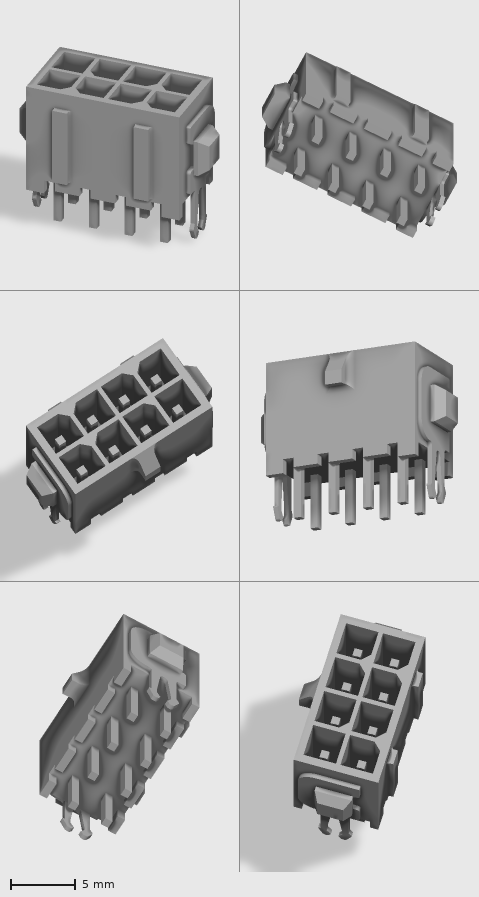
import cadquery as cq
import math


ARC_SAG = 1 - math.sqrt(0.5)

COLUMNS = 4
ROWS = 2
PITCH = 3.0
PIN_WIDTH = 0.64
PIN_BOTTOM = -4.35
COLUMN_X = [(i - (COLUMNS - 1) / 2) * PITCH for i in range(COLUMNS)]
ROW_Y = [(i - (ROWS - 1) / 2) * PITCH for i in range(ROWS)]

BODY_LENGTH = 12.9
BODY_WIDTH = 6.88
BODY_TOP = 8.06
FLOOR_THICKNESS = 1.0
CAVITY_SIZE = 2.64
CAVITY_CHAMFER = 0.65
PIN_TOP = BODY_TOP - 2.0
HALF_LENGTH = BODY_LENGTH / 2
HALF_WIDTH = BODY_WIDTH / 2

FRONT_ROW_KEYS = [1, -1, 1, -1]
BACK_ROW_KEYS = [0, -1, 1, -1]

SKIRT_THICKNESS = 0.67
SKIRT_DEPTH = 0.77
FOOT_DEPTH = 1.14
NOTCH_WIDTH = 0.93

RIB_X = 3.42
RIB_WIDTH = 1.23
RIB_HEIGHT = 0.51
RIB_BOTTOM = 0.3
RIB_TOP = 6.69
RIB_FILLET = 0.2

RAMP_WIDTH = 1.4
RAMP_REACH = 1.28
RAMP_TIP_TOP = 6.22
RAMP_TIP_BOTTOM = 5.14
RAMP_UNDERSIDE = 5.2
RAMP_SIDE_FILLET = 0.56
RAMP_UNDER_FILLET = 0.38

PLATE_THICKNESS = 0.37
PLATE_BACK = 3.0
PLATE_FRONT = -2.02
PLATE_BOTTOM = 0.46
PLATE_TOP = 6.48
PLATE_BACK_RADIUS = 1.5
PLATE_CORNER_RADIUS = 0.13
MOUTH_TOP = 4.98
MOUTH_LOWER_RADIUS = 0.25
STEM_HALF_WIDTH = 1.14
STEM_FILLET = 0.24

PEG_Z = 3.49
NECK_SIZE = 2.0
HEAD_SIZE = 3.0
HEAD_TIP_SIZE = 2.11
HEAD_INNER_X = 6.85
HEAD_TAPER_X = 7.22
PEG_TIP_X = 8.0

SLIT_CROWN = (0, 0.05)
SLIT_SHOULDER = (0.34, -0.25)
SLIT_FOOT = (0.64, -2.75)
HOOK_THROAT = (0.64, -3.12)
HOOK_NOSE = (0.3, -3.65)
TIP_INNER = (0.48, -3.95)
TIP_LOW = (0.72, -4.05)
TIP_OUTER = (0.96, -3.94)
BACK_BARB = [(STEM_HALF_WIDTH, -2.98), (1.35, -2.98), (1.35, -3.09)]
FRONT_BARB = [(STEM_HALF_WIDTH, -2.56), (1.38, -2.98), (1.38, -3.1)]


def block(x0, x1, y0, y1, z0, z1):
    """Axis-aligned box between the given limits."""
    return cq.Workplane("XY").box(x1 - x0, y1 - y0, z1 - z0, centered=False).translate((x0, y0, z0))


def cavity(x, y, key):
    """Square contact cavity with an optional cut corner on the -Y side."""
    half = CAVITY_SIZE / 2
    pocket = block(x - half, x + half, y - half, y + half, FLOOR_THICKNESS, BODY_TOP)
    if key:
        corner = "<Y and >X" if key > 0 else "<Y and <X"
        pocket = pocket.edges("|Z").edges(corner).chamfer(CAVITY_CHAMFER)
    return pocket


def skirt(y0):
    """Long-wall skirt with deeper end feet, notched at every pin column."""
    y1 = y0 + SKIRT_THICKNESS
    wall = block(-HALF_LENGTH, HALF_LENGTH, y0, y1, -FOOT_DEPTH, 0)
    wall = wall.cut(block(COLUMN_X[0], COLUMN_X[-1], y0, y1, -FOOT_DEPTH, -SKIRT_DEPTH))
    for x in COLUMN_X:
        wall = wall.cut(block(x - NOTCH_WIDTH / 2, x + NOTCH_WIDTH / 2, y0, y1, -FOOT_DEPTH, 0))
    return wall


def housing():
    body = block(-HALF_LENGTH, HALF_LENGTH, -HALF_WIDTH, HALF_WIDTH, 0, BODY_TOP)
    for y, keys in zip(ROW_Y, [FRONT_ROW_KEYS, BACK_ROW_KEYS]):
        for x, key in zip(COLUMN_X, keys):
            body = body.cut(cavity(x, y, key))
    body = body.union(skirt(-HALF_WIDTH))
    return body.union(skirt(HALF_WIDTH - SKIRT_THICKNESS))


def pin(x, y):
    half = PIN_WIDTH / 2
    return block(x - half, x + half, y - half, y + half, PIN_BOTTOM, PIN_TOP)


def flared_profile(width, reach, fillet):
    """XY section standing on y = 0 toward +Y, with concave fillets at its root."""
    half = width / 2
    bulge = fillet * ARC_SAG
    return (
        cq.Workplane("XY")
        .moveTo(-half - fillet, 0)
        .threePointArc((-half - bulge, bulge), (-half, fillet))
        .lineTo(-half, reach)
        .lineTo(half, reach)
        .lineTo(half, fillet)
        .threePointArc((half + bulge, bulge), (half + fillet, 0))
        .close()
    )


def rib(x):
    bar = flared_profile(RIB_WIDTH, RIB_HEIGHT, RIB_FILLET).extrude(RIB_TOP - RIB_BOTTOM)
    return bar.mirror("XZ").translate((x, -HALF_WIDTH, RIB_BOTTOM))


def latch_ramp():
    """Flared block trimmed to the sloping side profile of the latch."""
    bulge = RAMP_UNDER_FILLET * ARC_SAG
    side = (
        cq.Workplane("YZ")
        .moveTo(0, BODY_TOP)
        .lineTo(RAMP_REACH, RAMP_TIP_TOP)
        .lineTo(RAMP_REACH, RAMP_TIP_BOTTOM)
        .lineTo(RAMP_UNDER_FILLET, RAMP_UNDERSIDE)
        .threePointArc((bulge, RAMP_UNDERSIDE - bulge), (0, RAMP_UNDERSIDE - RAMP_UNDER_FILLET))
        .close()
        .extrude(RAMP_WIDTH, both=True)
    )
    flared = flared_profile(RAMP_WIDTH, RAMP_REACH, RAMP_SIDE_FILLET).extrude(BODY_TOP)
    return flared.intersect(side).translate((0, HALF_WIDTH, 0))


def spring_leg(barb):
    """Leg on the +Y side of the slit, from the plate down to its hooked tip."""
    crown_radius = SLIT_SHOULDER[0]
    crown_middle = (crown_radius * (1 - ARC_SAG), SLIT_CROWN[1] - crown_radius * ARC_SAG)
    return (
        cq.Workplane("YZ")
        .moveTo(*SLIT_CROWN)
        .lineTo(0, PLATE_BOTTOM)
        .lineTo(STEM_HALF_WIDTH, PLATE_BOTTOM)
        .polyline(barb, includeCurrent=True)
        .lineTo(*TIP_OUTER)
        .threePointArc(TIP_LOW, TIP_INNER)
        .lineTo(*HOOK_NOSE)
        .lineTo(*HOOK_THROAT)
        .lineTo(*SLIT_FOOT)
        .lineTo(*SLIT_SHOULDER)
        .threePointArc(crown_middle, SLIT_CROWN)
        .close()
        .extrude(PLATE_THICKNESS)
    )


def lock_plate():
    """C-shaped plate with its legs, on the +X end wall."""
    half_neck = NECK_SIZE / 2
    mid_x = PLATE_THICKNESS / 2
    plate = block(0, PLATE_THICKNESS, PLATE_FRONT, PLATE_BACK, PLATE_BOTTOM, PLATE_TOP)
    plate = plate.edges("|X and >Y").fillet(PLATE_BACK_RADIUS)
    plate = plate.edges("|X and <Y").fillet(PLATE_CORNER_RADIUS)
    slot = (
        cq.Workplane("YZ")
        .moveTo(PLATE_FRONT, PEG_Z - half_neck)
        .lineTo(half_neck, PEG_Z - half_neck)
        .lineTo(half_neck, PEG_Z + half_neck)
        .lineTo(-half_neck, PEG_Z + half_neck)
        .lineTo(PLATE_FRONT, MOUTH_TOP)
        .close()
        .extrude(PLATE_THICKNESS)
    )
    plate = plate.cut(slot)
    lower_lip = cq.NearestToPointSelector((mid_x, PLATE_FRONT, PEG_Z - half_neck))
    upper_lip = cq.NearestToPointSelector((mid_x, PLATE_FRONT, MOUTH_TOP))
    plate = plate.edges(lower_lip).fillet(MOUTH_LOWER_RADIUS)
    plate = plate.edges(upper_lip).fillet(PLATE_CORNER_RADIUS)

    plate = plate.union(spring_leg(BACK_BARB)).union(spring_leg(FRONT_BARB).mirror("XZ"))
    for side in (-1, 1):
        root = cq.NearestToPointSelector((mid_x, side * STEM_HALF_WIDTH, PLATE_BOTTOM))
        plate = plate.edges(root).fillet(STEM_FILLET)
    return plate.translate((HALF_LENGTH, 0, 0))


def peg():
    """Square neck and tapered head on the +X end wall."""
    centre = (0, PEG_Z)
    neck = cq.Workplane("YZ", (HALF_LENGTH, 0, 0)).center(*centre).rect(NECK_SIZE, NECK_SIZE)
    head = cq.Workplane("YZ", (HEAD_INNER_X, 0, 0)).center(*centre).rect(HEAD_SIZE, HEAD_SIZE)
    taper = (
        cq.Workplane("YZ", (HEAD_TAPER_X, 0, 0))
        .center(*centre)
        .rect(HEAD_SIZE, HEAD_SIZE)
        .workplane(offset=PEG_TIP_X - HEAD_TAPER_X)
        .rect(HEAD_TIP_SIZE, HEAD_TIP_SIZE)
        .loft(ruled=True)
    )
    solid = neck.extrude(HEAD_INNER_X - HALF_LENGTH)
    return solid.union(head.extrude(HEAD_TAPER_X - HEAD_INNER_X)).union(taper)


result = housing()
for pin_x in COLUMN_X:
    for pin_y in ROW_Y:
        result = result.union(pin(pin_x, pin_y))
for rib_x in (-RIB_X, RIB_X):
    result = result.union(rib(rib_x))
result = result.union(latch_ramp())

end_lock = lock_plate().union(peg())
result = result.union(end_lock).union(end_lock.mirror("YZ"))